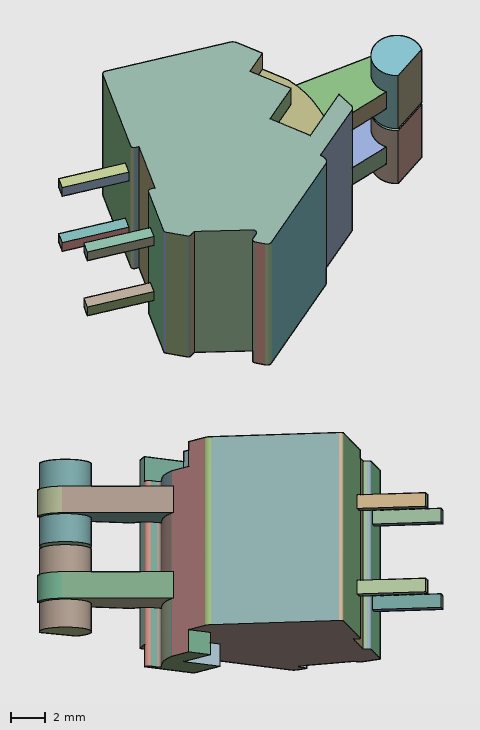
import cadquery as cq
import math


housing_height = 11.0
corner_radius = 0.2
back_wall_top = 7.92
back_wall_radius = 0.55
recess_start_x = 5.93
recess_end_x = 9.13
recess_depth = 0.44
tip_radius = 0.3
nose_radius = 0.25
bump_radius = 0.4
lip_radius = 0.15
lip_groove_radius = 0.2
hook_radius = 0.15
crown_radius = 6.5
crown_start_x = 2.5

key_height = 1.3
socket_depth = 1.45
interlock_start = (1.33, 9.25)
interlock_steps = (1.08, 1.90, 1.81, 1.86)
interlock_overhang = 4.0

pole_pitch = 5.0
pole_count = 2

pin_length = 4.0
pin_width = 0.7
pin_height = 0.8
pin_embed = 1.0
pin_row_x = 5.03
pin_row_count = 2
first_pin_z = 2.8

lever_thickness = 1.55
first_lever_z = 2.86
lever_tip = (2.40, 18.27)
lever_head_side = (1.34, 16.62)
lever_foot_back = (2.51, 9.75)
lever_foot_front = (5.40, 10.00)
lever_notch_bottom = (5.51, 11.62)
lever_notch_middle = (5.10, 12.50)
lever_notch_top = (5.29, 13.26)
lever_neck_front = (4.28, 15.80)
lever_head_radius = 1.48
knob_radius = 1.5
knob_length = 4.82
knob_x = 3.15
knob_y = 16.77
knob_flat_start = 91
knob_flat_end = -14


def toward(start, end, distance):
    """Point at the given distance from start on the way to end."""
    fraction = distance / math.dist(start, end)
    return (
        start[0] + (end[0] - start[0]) * fraction,
        start[1] + (end[1] - start[1]) * fraction,
    )


def round_corner(before, corner, after, radius):
    """Start, middle and end of the arc that rounds one corner."""
    angle_before = math.atan2(before[1] - corner[1], before[0] - corner[0])
    angle_after = math.atan2(after[1] - corner[1], after[0] - corner[0])
    half_angle = abs(math.remainder(angle_after - angle_before, math.tau)) / 2
    tangent_length = radius / math.tan(half_angle)
    arc_start = toward(corner, before, tangent_length)
    arc_end = toward(corner, after, tangent_length)
    chord_middle = ((arc_start[0] + arc_end[0]) / 2, (arc_start[1] + arc_end[1]) / 2)
    arc_middle = toward(corner, chord_middle, radius / math.sin(half_angle) - radius)
    return arc_start, arc_middle, arc_end


def rounded_outline(corners):
    """Closed outline through (x, y, radius) corners; radius 0 leaves a corner sharp."""
    outline = cq.Workplane("XY").moveTo(*corners[0][:2])
    for index in range(1, len(corners)):
        x, y, radius = corners[index]
        if radius == 0:
            outline = outline.lineTo(x, y)
            continue
        before = corners[index - 1][:2]
        after = corners[(index + 1) % len(corners)][:2]
        arc_start, arc_middle, arc_end = round_corner(before, (x, y), after, radius)
        outline = outline.lineTo(*arc_start).threePointArc(arc_middle, arc_end)
    return outline.close()


def housing_profile():
    return rounded_outline([
        (recess_start_x, recess_depth, 0),
        (recess_end_x, recess_depth, 0),
        (recess_end_x, 0, corner_radius),
        (12.41, 0, corner_radius),
        (13.15, 1.31, corner_radius),
        (12.88, 1.67, 0),
        (13.83, 5.25, lip_groove_radius),
        (14.52, 4.61, lip_radius),
        (15.08, 5.53, tip_radius),
        (10.04, 10.57, bump_radius),
        (9.54, 10.26, 0),
        (6.72, 13.09, tip_radius),
        (5.13, 12.41, nose_radius),
        (5.89, 11.66, hook_radius),
        (3.66, 11.21, crown_radius),
        (crown_start_x, back_wall_top + crown_start_x, 0),
        (0, back_wall_top, back_wall_radius),
        (0, 0, corner_radius),
        (recess_start_x, 0, corner_radius),
    ])


def make_interlock_region(start_z, height):
    """Zigzag region at the crown, all walls at 45 degrees, open beyond the crown."""
    x, y = interlock_start
    zigzag = [(x, y)]
    for index, step in enumerate(interlock_steps):
        x += step
        y += step if index % 2 else -step
        zigzag.append((x, y))
    for x, y in (zigzag[-1], zigzag[0]):
        zigzag.append((x - interlock_overhang, y + interlock_overhang))
    return cq.Workplane("XY").workplane(offset=start_z).polyline(zigzag).close().extrude(height)


def make_housing():
    body = housing_profile().extrude(housing_height)
    socket = make_interlock_region(housing_height - socket_depth, socket_depth)
    lower_body = housing_profile().extrude(-key_height)
    key = lower_body.intersect(make_interlock_region(-key_height, key_height))
    return body.cut(socket).union(key)


def make_pin(x, z):
    length = pin_length + pin_embed
    center_y = (pin_embed - pin_length) / 2
    return cq.Workplane("XY").box(pin_width, length, pin_height).translate((x, center_y, z))


def make_knob():
    """Round grip with one flat, centred on Z = 0."""
    def rim_point(degrees):
        angle = math.radians(degrees)
        return (knob_x + knob_radius * math.cos(angle), knob_y + knob_radius * math.sin(angle))

    opposite = (knob_flat_start + knob_flat_end) / 2 + 180
    return (
        cq.Workplane("XY")
        .moveTo(*rim_point(knob_flat_start))
        .threePointArc(rim_point(opposite), rim_point(knob_flat_end))
        .close()
        .extrude(knob_length / 2, both=True)
    )


def make_lever_arm():
    """Flat arm from inside the housing up to the knob, centred on Z = 0."""
    return (
        cq.Workplane("XY")
        .moveTo(knob_x, knob_y)
        .lineTo(*lever_neck_front)
        .lineTo(*lever_notch_top)
        .threePointArc(lever_notch_middle, lever_notch_bottom)
        .lineTo(*lever_foot_front)
        .lineTo(*lever_foot_back)
        .lineTo(*lever_head_side)
        .radiusArc(lever_tip, lever_head_radius)
        .close()
        .extrude(lever_thickness / 2, both=True)
    )


result = make_housing()
lever = make_lever_arm().union(make_knob())
for pole in range(pole_count):
    pole_offset = pole * pole_pitch
    result = result.union(lever.translate((0, 0, first_lever_z + pole_offset)))
    for row in range(pin_row_count):
        result = result.union(make_pin(pin_row_x + row * pole_pitch, first_pin_z + pole_offset))